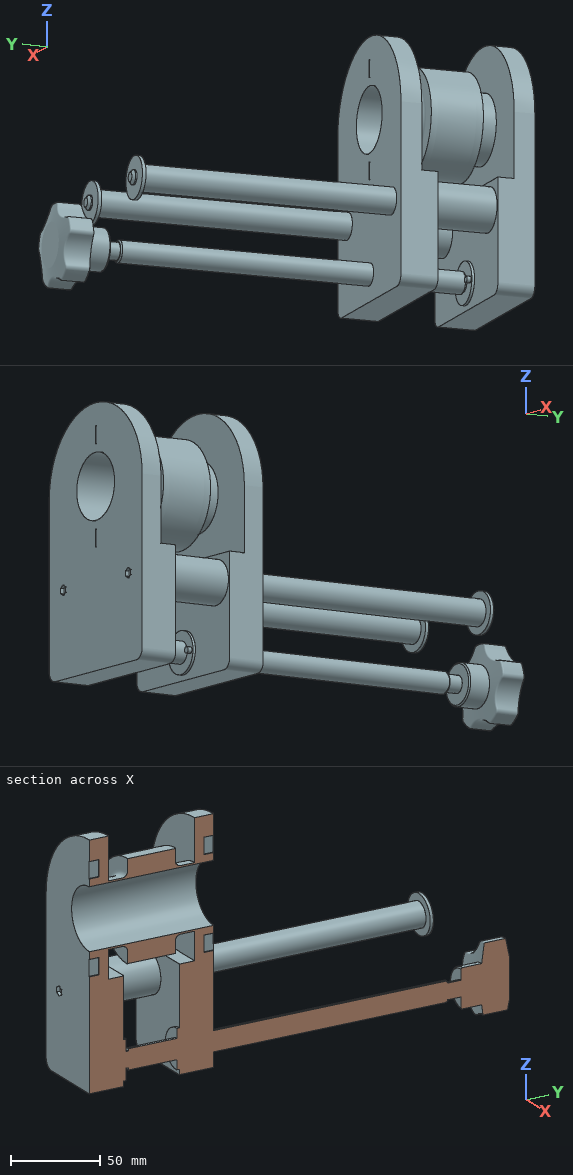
import cadquery as cq
import math


plate_width = 95.2
plate_radius = plate_width / 2
plate_bottom = -104.8
plate_thickness = 12.5
block_thickness = 22.5
block_top = -38.2
corner_radius = 6.0
frame_depth = 80.8
frame_middle = frame_depth / 2

flange_radius = 34.5
flange_inset_depth = 6.3
sleeve_radius = 24.3
bore_radius = 19.5
split_gap = 0.8
flange_screw_radius = 3.5
flange_screw_circle = 29.5
flange_screw_count = 6

neck_radius = 20.7
neck_fillet = 3.3
roller_radius = 31.7
roller_length = 31.5
roller_band_length = 23.2

rod_offset = 33.3
rod_height = -54.0
spacer_radius = 13.0
rod_radius = 8.0
rod_end = 233.5
rod_washer_radius = 12.5
rod_washer_thickness = 2.2
button_radius = 4.5
button_height = 2.5
button_chamfer = 1.6
bolt_radius = 4.5
socket_across_corners = 6.0
socket_depth = 2.2

bolt_sites = [(-rod_offset, rod_height), (rod_offset, rod_height)]

spindle_height = -89.0
spindle_radius = 6.5
spindle_start = 25.5
spindle_end = 232.7
spindle_chamfer = 0.8
journal_radius = 5.2
collar_radius = 12.5
collar_thickness = 1.6
collar_screw_radius = 2.0
collar_screw_height = 2.5
collar_screw_offset = 9.5

hub_radius = 12.5
hub_start = 241.2
hub_chamfer = 0.8
knob_radius = 24.5
knob_front = 254.5
knob_front_rim = 256.2
knob_back_rim = 270.5
knob_back = 272.8
knob_back_radius = 13.0
lobe_count = 5
scallop_radius = 15.0
scallop_depth_radius = 18.8
lobe_fillet = 2.7
rim_fillet = 0.8


def rod_along_y(radius, start, end, x=0.0, z=0.0):
    """Round bar parallel to Y between two Y positions."""
    return cq.Workplane("XZ", origin=(x, start, z)).circle(radius).extrude(start - end)


def fuse(body, *others):
    """Join bodies, keeping the joint lines where their faces are flush."""
    for other in others:
        body = body.union(other, clean=False)
    return body


def side_plate():
    """Front plate: round-topped slab with a thicker block along its lower part."""
    slab = (
        cq.Workplane("XZ")
        .moveTo(-plate_radius, plate_bottom)
        .lineTo(plate_radius, plate_bottom)
        .lineTo(plate_radius, 0)
        .threePointArc((0, plate_radius), (-plate_radius, 0))
        .close()
        .extrude(-plate_thickness)
    )
    block_size = block_top - plate_bottom
    block = cq.Workplane("XY").box(plate_width, block_thickness, block_size, centered=(True, False, False))
    plate = slab.union(block.translate((0, 0, plate_bottom)))
    return plate.edges("|Y and <Z").fillet(corner_radius)


def flange_screws():
    """Heads of the flush screws on a circle around the bore."""
    return (
        cq.Workplane("XZ")
        .polarArray(flange_screw_circle, 0, 360, flange_screw_count)
        .circle(flange_screw_radius)
        .extrude(-flange_inset_depth)
    )


def bearing_plate():
    """Side plate with its flush flange, split on the outer face, and flush screws and sleeve."""
    seat = rod_along_y(flange_radius, 0, plate_thickness)
    sleeve = rod_along_y(sleeve_radius, 0, flange_inset_depth)
    screws = flange_screws()
    gap = cq.Workplane("XZ").rect(split_gap, 2 * flange_radius).extrude(-flange_inset_depth)
    flange = seat.cut(sleeve).cut(gap).cut(screws)
    return fuse(side_plate().cut(seat), flange, screws, sleeve)


def front_plate():
    """Bearing plate with the flush socket bolts that hold the spacers."""
    bolts = cq.Workplane("XZ").pushPoints(bolt_sites).circle(bolt_radius).extrude(-block_thickness)
    plate = fuse(bearing_plate().cut(bolts, clean=False), bolts)
    for x, z in bolt_sites:
        socket = (
            cq.Workplane("XZ", origin=(x, 0, z))
            .transformed(rotate=(0, 0, 90))
            .polygon(6, socket_across_corners)
            .extrude(-socket_depth)
        )
        plate = plate.cut(socket, clean=False)
    return plate


def back_plate():
    """Mirror image of the bearing plate at the far end of the frame."""
    return bearing_plate().mirror("XZ").translate((0, frame_depth, 0))


def roller():
    """Roller with flush middle band, and necks blended into its end faces."""
    start = frame_middle - roller_length / 2
    end = frame_middle + roller_length / 2
    band_start = frame_middle - roller_band_length / 2
    band_end = frame_middle + roller_band_length / 2
    corner = neck_fillet * (1 - math.sqrt(0.5))
    blend_radius = neck_radius + neck_fillet
    profile = (
        cq.Workplane("XY")
        .moveTo(0, plate_thickness)
        .lineTo(neck_radius, plate_thickness)
        .lineTo(neck_radius, start - neck_fillet)
        .threePointArc((neck_radius + corner, start - corner), (blend_radius, start))
        .lineTo(roller_radius, start)
        .lineTo(roller_radius, band_start)
        .lineTo(roller_radius, band_end)
        .lineTo(roller_radius, end)
        .lineTo(blend_radius, end)
        .threePointArc((neck_radius + corner, end + corner), (neck_radius, end + neck_fillet))
        .lineTo(neck_radius, frame_depth - plate_thickness)
        .lineTo(0, frame_depth - plate_thickness)
        .close()
    )
    return profile.revolve(360, (0, 0), (0, 1), clean=False)


def guide_rod(x):
    """Spacer between the plates and a long rod ending in a washer and screw."""
    spacer = rod_along_y(spacer_radius, block_thickness, frame_depth - block_thickness, x, rod_height)
    rod = rod_along_y(rod_radius, frame_depth, rod_end, x, rod_height)
    washer_end = rod_end + rod_washer_thickness
    washer = rod_along_y(rod_washer_radius, rod_end, washer_end, x, rod_height)
    button = rod_along_y(button_radius, washer_end, washer_end + button_height, x, rod_height)
    button = button.faces(">Y").chamfer(button_chamfer)
    return [spacer, rod, washer, button]


def collar(face, direction):
    """Retaining collar on an inner block face, with one screw on each side."""
    top = face + direction * collar_thickness
    parts = [rod_along_y(collar_radius, face, top, 0, spindle_height)]
    for x in (-collar_screw_offset, collar_screw_offset):
        screw_end = top + direction * collar_screw_height
        parts.append(rod_along_y(collar_screw_radius, top, screw_end, x, spindle_height))
    return parts


def spindle():
    """Spindle with a thinner journal at each end."""
    journal = rod_along_y(journal_radius, block_thickness, hub_start, 0, spindle_height)
    bar = rod_along_y(spindle_radius, spindle_start, spindle_end, 0, spindle_height)
    return journal.union(bar.faces(">Y").chamfer(spindle_chamfer))


def knob():
    """Lobed star knob with coned faces and a round hub."""
    body = (
        cq.Workplane("XY")
        .moveTo(0, knob_front)
        .lineTo(hub_radius, knob_front)
        .lineTo(knob_radius, knob_front_rim)
        .lineTo(knob_radius, knob_back_rim)
        .lineTo(knob_back_radius, knob_back)
        .lineTo(0, knob_back)
        .close()
        .revolve(360, (0, 0), (0, 1))
    )
    star = rod_along_y(knob_radius, knob_front, knob_back)
    scallop_center = scallop_depth_radius + scallop_radius
    for lobe in range(lobe_count):
        angle = math.radians(-90 + lobe * 360 / lobe_count)
        x = scallop_center * math.cos(angle)
        z = scallop_center * math.sin(angle)
        star = star.cut(rod_along_y(scallop_radius, knob_front, knob_back, x, z))
    star = star.edges("|Y").fillet(lobe_fillet)
    hub = rod_along_y(hub_radius, hub_start, knob_front).faces("<Y").chamfer(hub_chamfer)
    head = body.intersect(star)
    head = head.edges("not (|Y or <Y or >Y)").fillet(rim_fillet)
    return head.union(hub).translate((0, 0, spindle_height))


frame = fuse(front_plate(), back_plate(), roller())
frame = frame.cut(rod_along_y(bore_radius, 0, frame_depth), clean=False)
for rod_x in (-rod_offset, rod_offset):
    frame = fuse(frame, *guide_rod(rod_x))
result = fuse(
    frame,
    spindle(),
    *collar(block_thickness, 1),
    *collar(frame_depth - block_thickness, -1),
    knob(),
)